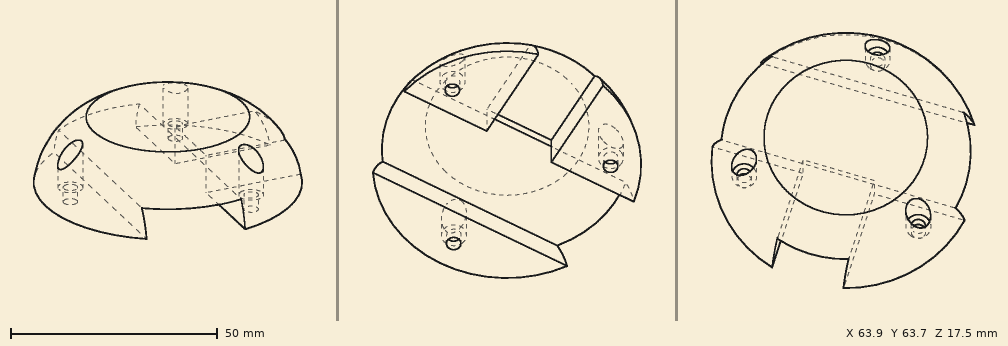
import cadquery as cq

base_radius = 32.5
top_radius = 19.8
dome_height = 17.5
bulge_radius = 29.05
bulge_height = 9.2

slot_front_y = -18.0
slot_back_y = 5.95
slot_height = 7.1

notch_width = 18.0
notch_height = 9.95

hole_diameter = 3.5
bore_diameter = 6.0
bore_floor_z = 3.85
front_hole_y = -26.0
back_hole_x = 22.05
back_hole_y = 12.0
hole_centers = [
    (0, front_hole_y),
    (-back_hole_x, back_hole_y),
    (back_hole_x, back_hole_y),
]


def make_dome():
    return (
        cq.Workplane("XZ")
        .lineTo(base_radius, 0)
        .threePointArc((bulge_radius, bulge_height), (top_radius, dome_height))
        .lineTo(0, dome_height)
        .close()
        .revolve(360, (0, 0, 0), (0, 1, 0))
    )


def make_cutter(width, front_y, back_y, height):
    """Box centred on X, standing on the base plane between two Y limits."""
    return (
        cq.Workplane("XY")
        .box(width, back_y - front_y, height, centered=(True, False, False))
        .translate((0, front_y, 0))
    )


def make_screw_holes():
    shafts = cq.Workplane("XY").pushPoints(hole_centers).circle(hole_diameter / 2).extrude(dome_height)
    bores = (
        cq.Workplane("XY", origin=(0, 0, bore_floor_z))
        .pushPoints(hole_centers)
        .circle(bore_diameter / 2)
        .extrude(dome_height - bore_floor_z)
    )
    return shafts.union(bores)


slot = make_cutter(2 * base_radius, slot_front_y, slot_back_y, slot_height)
notch = make_cutter(notch_width, slot_back_y, base_radius, notch_height)

result = make_dome().cut(slot).cut(notch).cut(make_screw_holes())